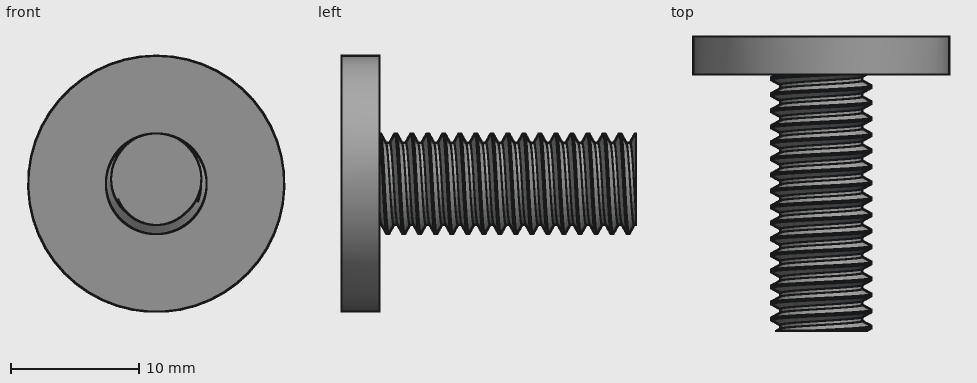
import cadquery as cq

total_length = 23.0
head_diameter = 20.0
head_thickness = 3.0
thread_diameter = 7.87
core_diameter = 6.45
turns = 16

shank_length = total_length - head_thickness
pitch = shank_length / turns
core_radius = core_diameter / 2
thread_radius = thread_diameter / 2
crest_width = pitch / 8
root_gap = pitch / 4
ridge_base_width = pitch - root_gap
flank_slope = (ridge_base_width - crest_width) / (thread_radius - core_radius)
embed_depth = 0.12
foot_radius = core_radius - embed_depth
foot_width = ridge_base_width + flank_slope * embed_depth

free_end = cq.Plane(origin=(0, -shank_length, 0), xDir=(0, 0, 1), normal=(0, 1, 0))


def make_head():
    """Plain round disc behind the shank."""
    return (
        cq.Workplane(free_end)
        .workplane(offset=shank_length)
        .circle(head_diameter / 2)
        .extrude(head_thickness)
    )


def make_core():
    """Plain cylinder at the thread root, running the whole shank."""
    return cq.Workplane(free_end).circle(core_radius).extrude(shank_length)


def make_thread_ridge():
    """Right-hand ridge, with one extra turn past each end, trimmed to the shank.

    The crest meets the free end on the +Z side.
    """
    helix = cq.Wire.makeHelix(pitch, shank_length + 2 * pitch, core_radius)
    ridge = (
        cq.Workplane("XZ")
        .polyline([
            (foot_radius, -foot_width / 2),
            (thread_radius, -crest_width / 2),
            (thread_radius, crest_width / 2),
            (foot_radius, foot_width / 2),
        ])
        .close()
        .sweep(cq.Workplane(helix), isFrenet=True)
        .translate((0, 0, -pitch))
    )
    placed_ridge = cq.Workplane(ridge.val().moved(cq.Location(free_end)))
    trim_width = 2 * thread_diameter
    shank_space = cq.Workplane(free_end).rect(trim_width, trim_width).extrude(shank_length)
    return placed_ridge.intersect(shank_space)


result = make_core().union(make_thread_ridge()).union(make_head())